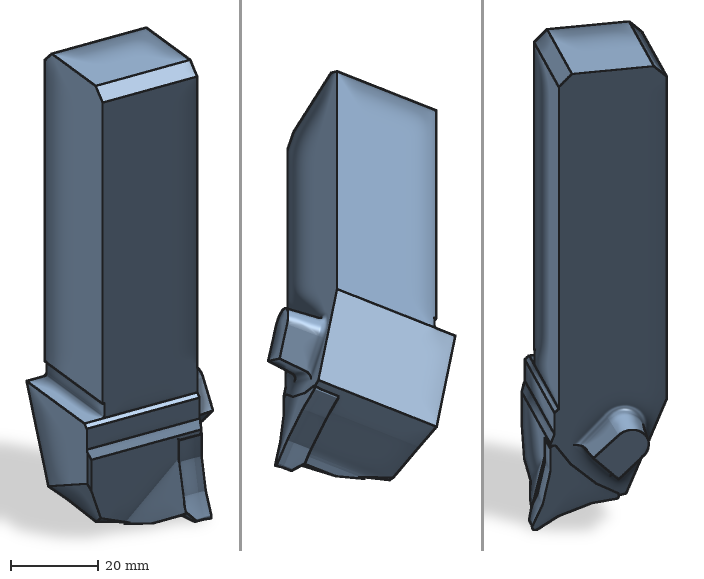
import cadquery as cq
import math


total_height = 114.1
shank_width = 25.5
shank_depth = 25.5
top_chamfer_x = 3.1
top_chamfer_z = 3.0
ledge_z = 30.0
relief_height = 3.8
relief_depth = 0.5
relief_radius = 0.7

head_depth = 30.4
side_x = 26.5
wall_x = 27.4
side_corner = 0.9
wall_top_z = 21.3
wall_blend_height = 2.4
heel = (9.6, 7.1)
belly = (16.0, 6.0)
underside_bend = (25.8, 3.3)
underside_bend_radius = 11.4
throat = (wall_x, 2.5)
front_edge_chamfer = 0.7
bevel_wall_z = 15.4
bevel_angle = 20.0

facet_bevel_point = (25.3, -27.2, 4.1)
facet_wall_top = (wall_x, -26.9, 5.6)
facet_wall_foot = (wall_x, -19.6, 2.6)

insert_thickness = 6.2
insert_tip_x = 31.7
insert_points = 3
tip_reach = 11.4
tip_angle = 35.0
waist = 5.2
tip_direction = -47.5
tip_radius = 0.8
rim_thickness = 1.8
rim_relief = 7.0
nose_bevel_height = 2.4
nose_bevel_depth = 2.7

rib_foot = (29.0, 1.6)
rib_side = (30.5, 2.6)
rib_slope = 12.0

boss_x = 10.5
boss_z = 23.3
boss_height = 9.6
boss_radius = 4.9
boss_draft = 5.0
boss_reach = 8.8
boss_fillet = 1.6
boss_end_tilt = 6.5
boss_turn = 45.0

reach = 68.5
face_tolerance = 0.1


def prism(points, y_start, y_end):
    """Extrude an (x, z) outline between two Y positions."""
    outline = cq.Workplane("XZ", origin=(0, y_start, 0)).polyline(points).close()
    return outline.extrude(y_start - y_end)


def half_space(origin, normal):
    """Block filling the side of a plane that the normal points to."""
    plane = cq.Plane(origin=origin, normal=normal)
    return cq.Workplane(plane).rect(2 * reach, 2 * reach).extrude(reach)


def make_shank():
    chamfer_z = total_height - top_chamfer_z
    shank = prism(
        [
            (0, ledge_z),
            (0, chamfer_z),
            (top_chamfer_x, total_height),
            (shank_width - top_chamfer_x, total_height),
            (shank_width, chamfer_z),
            (shank_width, ledge_z),
        ],
        0,
        -shank_depth,
    )
    relief = cq.Workplane("XY").box(
        shank_width, relief_depth, relief_height, centered=False
    ).translate((0, -shank_depth, ledge_z))
    return shank.cut(relief)


def make_root_fillet():
    """Concave fillet between the undercut and the ledge."""
    wall_y = -shank_depth + relief_depth
    profile = (
        cq.Workplane("YZ")
        .moveTo(wall_y, ledge_z)
        .lineTo(wall_y - relief_radius, ledge_z)
        .radiusArc((wall_y, ledge_z + relief_radius), -relief_radius)
        .close()
    )
    return profile.extrude(shank_width)


def make_head():
    head = prism(
        [
            (0, ledge_z),
            (shank_width, ledge_z),
            (side_x, ledge_z - side_corner),
            (side_x, wall_top_z + wall_blend_height),
            (wall_x, wall_top_z),
            throat,
            underside_bend,
            belly,
            heel,
        ],
        0,
        -head_depth,
    )
    bend_x, bend_z = underside_bend
    bend_edge = cq.selectors.NearestToPointSelector((bend_x, -head_depth / 2, bend_z))
    head = head.edges("|Y").edges(bend_edge).fillet(underside_bend_radius)
    return head.cut(edge_chamfer()).cut(front_bevel()).cut(corner_facet())


def edge_chamfer():
    origin = (wall_x - front_edge_chamfer, -head_depth, wall_top_z)
    return half_space(origin, (1, -1, 0))


def front_bevel():
    run = wall_x - heel[0]
    rise = bevel_wall_z - heel[1]
    length = math.hypot(run, rise)
    lean = math.sin(math.radians(bevel_angle))
    normal = (lean * rise / length, -math.cos(math.radians(bevel_angle)), -lean * run / length)
    return half_space((heel[0], -head_depth, heel[1]), normal)


def corner_facet():
    base = cq.Vector(*facet_wall_foot)
    across = cq.Vector(*facet_bevel_point) - base
    upward = cq.Vector(*facet_wall_top) - base
    return half_space(facet_wall_foot, upward.cross(across).toTuple())


def make_rib():
    rib = prism([(wall_x, bevel_wall_z), rib_side, rib_foot, throat], 0, -head_depth)
    run = rib_side[0] - wall_x
    drop = bevel_wall_z - rib_side[1]
    normal = (1, -math.tan(math.radians(rib_slope)), run / drop)
    return rib.cut(half_space((rib_side[0], -insert_thickness, rib_side[1]), normal))


def make_boss():
    """Drafted D-shaped boss, built along local +X and then turned towards the nose."""
    boss = (
        cq.Workplane("XZ")
        .moveTo(boss_reach, boss_radius)
        .lineTo(0, boss_radius)
        .threePointArc((-boss_radius, 0), (0, -boss_radius))
        .lineTo(boss_reach, -boss_radius)
        .close()
        .extrude(-boss_height, taper=boss_draft)
    )
    tilt = math.radians(boss_end_tilt)
    end_cut = half_space((-boss_radius, boss_height, 0), (math.sin(tilt), math.cos(tilt), 0))
    boss = boss.cut(end_cut).rotate((0, 0, 0), (0, 1, 0), boss_turn)
    return boss.translate((boss_x, 0, boss_z))


def add_boss(holder_body):
    """Join the boss and round the corner where it leaves the Y = 0 face."""
    joined = holder_body.union(make_boss())
    margin = boss_reach + boss_radius
    foot = cq.selectors.BoxSelector(
        (boss_x - boss_radius, -face_tolerance, boss_z - margin),
        (boss_x + margin, face_tolerance, boss_z + boss_radius),
    )
    return joined.edges(foot).fillet(boss_fillet)


def from_insert_center(distance, direction):
    """Point (x, z) at a distance and direction in degrees from the insert's centre."""
    working_tip = math.radians(tip_direction)
    center_x = insert_tip_x - tip_radius - tip_reach * math.cos(working_tip)
    center_z = tip_radius - tip_reach * math.sin(working_tip)
    angle = math.radians(direction)
    return (center_x + distance * math.cos(angle), center_z + distance * math.sin(angle))


def make_insert_blank():
    """Star-shaped plate whose lower part is smaller than its top by the relief of the rim."""
    half_tip = math.radians(tip_angle / 2)
    half_pitch = math.pi / insert_points
    flank_angle = math.pi / 2 - half_pitch - half_tip
    tip_distance = tip_reach + tip_radius / math.sin(half_tip)
    notch_distance = tip_distance * math.sin(half_tip) / math.sin(half_pitch + half_tip)
    half_flat = (waist - notch_distance) / math.tan(flank_angle)
    flat_end = math.hypot(waist, half_flat)
    flat_spread = math.degrees(math.atan2(half_flat, waist))
    pitch = 360 / insert_points
    star = []
    for index in range(insert_points):
        direction = tip_direction + index * pitch
        star.append(from_insert_center(tip_distance, direction))
        star.append(from_insert_center(flat_end, direction + pitch / 2 - flat_spread))
        star.append(from_insert_center(flat_end, direction + pitch / 2 + flat_spread))
    plate = prism(star, 0, -insert_thickness)
    for index in range(insert_points):
        tip_x, tip_z = from_insert_center(tip_distance, tip_direction + index * pitch)
        tip_edge = cq.selectors.NearestToPointSelector((tip_x, -insert_thickness / 2, tip_z))
        plate = plate.edges("|Y").edges(tip_edge).fillet(tip_radius)
    rim = plate.faces(">Y").wires().toPending().workplane().extrude(
        -rim_thickness, taper=rim_relief, combine=False
    )
    lower_part = rim.faces("<Y").wires().toPending().workplane().extrude(
        insert_thickness - rim_thickness, combine=False
    )
    return rim.union(lower_part)


def make_insert():
    """Insert with the underside of its working tip bevelled."""
    start_x, start_z = from_insert_center(tip_reach + tip_radius, tip_direction)
    angle = math.radians(tip_direction)
    normal = (
        nose_bevel_height * math.cos(angle),
        -nose_bevel_depth,
        nose_bevel_height * math.sin(angle),
    )
    start = (start_x, nose_bevel_height - insert_thickness, start_z)
    return make_insert_blank().cut(half_space(start, normal))


def make_pocket_opening():
    """Space beside the insert, so that the pocket is open to the right and below."""
    pitch = 360 / insert_points
    upper_tip = from_insert_center(tip_reach, tip_direction + pitch)
    lower_tip = from_insert_center(tip_reach, tip_direction - pitch)
    center = from_insert_center(0, 0)
    return prism(
        [
            center,
            upper_tip,
            (reach, upper_tip[1]),
            (reach, -reach),
            (lower_tip[0], -reach),
            lower_tip,
        ],
        0,
        -insert_thickness,
    )


insert = make_insert()
solid_holder = make_head().union(make_rib()).union(make_shank()).union(make_root_fillet())
solid_holder = add_boss(solid_holder)
holder = solid_holder.cut(make_pocket_opening()).cut(insert)

result = cq.Compound.makeCompound([holder.solids().val(), insert.solids().val()])